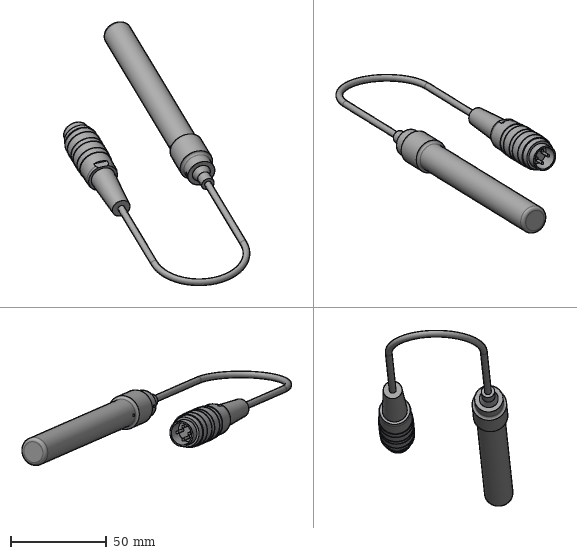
import cadquery as cq
import math

ARM_TURN = -13.1
BEND_RADIUS = 25.0
CABLE_DIAMETER = 3.5

PROBE_TIP_X = -194.5
PROBE_TUBE_DIAMETER = 15.0
PROBE_TIP_FILLET = 2.0
COLLAR_START_X = -87.7
COLLAR_END_X = -72.2
COLLAR_DIAMETER = 18.2
COLLAR_ROOT_FILLET = 1.5
CAP_END_X = -64.5
BUSH_CONE_DIAMETER = 10.0
BUSH_START_X = -60.8
BUSH_DIAMETER = 7.0
PROBE_END_X = -54.6
SET_HOLE_DIAMETER = 1.5
SET_HOLE_XS = (-91.0, -67.0)

PLUG_MOUTH_X = -120.3
NOSE_DIAMETER = 13.5
SHOULDER_START_X = -115.6
SHOULDER_SMALL_DIAMETER = 16.0
SHOULDER_LARGE_DIAMETER = 17.0
GRIP_START_X = -112.3
GRIP_BAND_EDGES = (-108.0, -102.5, -99.3, -93.5)
GRIP_END_X = -89.5
GRIP_LOW_DIAMETER = 18.0
GRIP_HIGH_DIAMETER = 18.5
SLEEVE_START_DIAMETER = 17.4
SLEEVE_END_DIAMETER = 17.0
SLEEVE_CHAMFER_X = -79.8
SLEEVE_FACE_DIAMETER = 16.0
SLEEVE_END_X = -78.4
RELIEF_START_DIAMETER = 13.1
RELIEF_END_DIAMETER = 10.0
PLUG_END_X = -50.6
WINDOW_LENGTH = 3.8
WINDOW_WIDTH = 8.3
WINDOW_DEPTH = 0.8
SOCKET_DIAMETER = 11.9
SOCKET_DEPTH = 8.5
PIN_COUNT = 4
PIN_DIAMETER = 1.5
PIN_CIRCLE_DIAMETER = 7.0
PIN_LENGTH = 6.4


def turned_body(stations, arm_y):
    """Solid of revolution about the arm at arm_y, through (x, diameter) stations."""
    points = [(x, diameter / 2) for x, diameter in stations]
    outline = [(points[0][0], 0), *points, (points[-1][0], 0)]
    body = cq.Workplane("XY").polyline(outline).close().revolve(360, (0, 0, 0), (1, 0, 0))
    return body.translate((0, arm_y, 0))


def cylinder_along_arm(start_x, length, diameter, y, z):
    """Cylinder parallel to the arms."""
    return cq.Workplane("YZ", origin=(start_x, y, z)).circle(diameter / 2).extrude(length)


def make_probe():
    arm_y = BEND_RADIUS
    probe = turned_body(
        [
            (PROBE_TIP_X, PROBE_TUBE_DIAMETER),
            (COLLAR_START_X, PROBE_TUBE_DIAMETER),
            (COLLAR_START_X, COLLAR_DIAMETER),
            (COLLAR_END_X, COLLAR_DIAMETER),
            (COLLAR_END_X, PROBE_TUBE_DIAMETER),
            (CAP_END_X, PROBE_TUBE_DIAMETER),
            (CAP_END_X, BUSH_CONE_DIAMETER),
            (BUSH_START_X, BUSH_DIAMETER),
            (PROBE_END_X, BUSH_DIAMETER),
        ],
        arm_y,
    )
    probe = probe.faces("<X").edges().fillet(PROBE_TIP_FILLET)

    mean_radius = (COLLAR_DIAMETER + PROBE_TUBE_DIAMETER) / 4
    roots = [
        edge
        for edge in probe.edges("%CIRCLE").vals()
        if round(edge.Center().x, 3) in (COLLAR_START_X, COLLAR_END_X) and edge.radius() < mean_radius
    ]
    probe = probe.newObject(roots).fillet(COLLAR_ROOT_FILLET)

    side_y = arm_y - PROBE_TUBE_DIAMETER / 2
    for hole_x in SET_HOLE_XS:
        hole = cq.Workplane("XZ", origin=(hole_x, side_y, 0)).circle(SET_HOLE_DIAMETER / 2)
        probe = probe.cut(hole.extrude(-PROBE_TUBE_DIAMETER / 2))
    return probe


def make_plug():
    arm_y = -BEND_RADIUS
    stations = [
        (PLUG_MOUTH_X, NOSE_DIAMETER),
        (SHOULDER_START_X, NOSE_DIAMETER),
        (SHOULDER_START_X, SHOULDER_SMALL_DIAMETER),
        (GRIP_START_X, SHOULDER_LARGE_DIAMETER),
    ]
    edges = (GRIP_START_X, *GRIP_BAND_EDGES, GRIP_END_X)
    for index, (band_start, band_end) in enumerate(zip(edges, edges[1:])):
        diameter = GRIP_HIGH_DIAMETER if index % 2 else GRIP_LOW_DIAMETER
        stations += [(band_start, diameter), (band_end, diameter)]
    stations += [
        (GRIP_END_X, SLEEVE_START_DIAMETER),
        (SLEEVE_CHAMFER_X, SLEEVE_END_DIAMETER),
        (SLEEVE_END_X, SLEEVE_FACE_DIAMETER),
        (SLEEVE_END_X, RELIEF_START_DIAMETER),
        (PLUG_END_X, RELIEF_END_DIAMETER),
    ]
    plug = turned_body(stations, arm_y)

    plug = plug.cut(cylinder_along_arm(PLUG_MOUTH_X, SOCKET_DEPTH, SOCKET_DIAMETER, arm_y, 0))

    floor_x = PLUG_MOUTH_X + SOCKET_DEPTH
    for index in range(PIN_COUNT):
        angle = math.radians(index * 360 / PIN_COUNT)
        pin_y = arm_y + PIN_CIRCLE_DIAMETER / 2 * math.cos(angle)
        pin_z = PIN_CIRCLE_DIAMETER / 2 * math.sin(angle)
        plug = plug.union(cylinder_along_arm(floor_x, -PIN_LENGTH, PIN_DIAMETER, pin_y, pin_z))

    window = cq.Workplane("XY").box(WINDOW_LENGTH, WINDOW_WIDTH, WINDOW_DEPTH * 2).translate(
        (SLEEVE_END_X - WINDOW_LENGTH / 2, arm_y, SLEEVE_END_DIAMETER / 2)
    )
    return plug.cut(window)


def make_cable():
    path = (
        cq.Workplane("XY")
        .moveTo(PROBE_END_X, BEND_RADIUS)
        .lineTo(0, BEND_RADIUS)
        .threePointArc((BEND_RADIUS, 0), (0, -BEND_RADIUS))
        .lineTo(PLUG_END_X, -BEND_RADIUS)
    )
    section = cq.Workplane("YZ", origin=(PROBE_END_X, BEND_RADIUS, 0)).circle(CABLE_DIAMETER / 2)
    return section.sweep(path)


def place(body):
    return body.rotate((0, 0, 0), (0, 0, 1), ARM_TURN)


probe = place(make_probe())
cable = place(make_cable())
plug = place(make_plug())

result = cq.Compound.makeCompound([probe.val(), cable.val(), plug.val()])